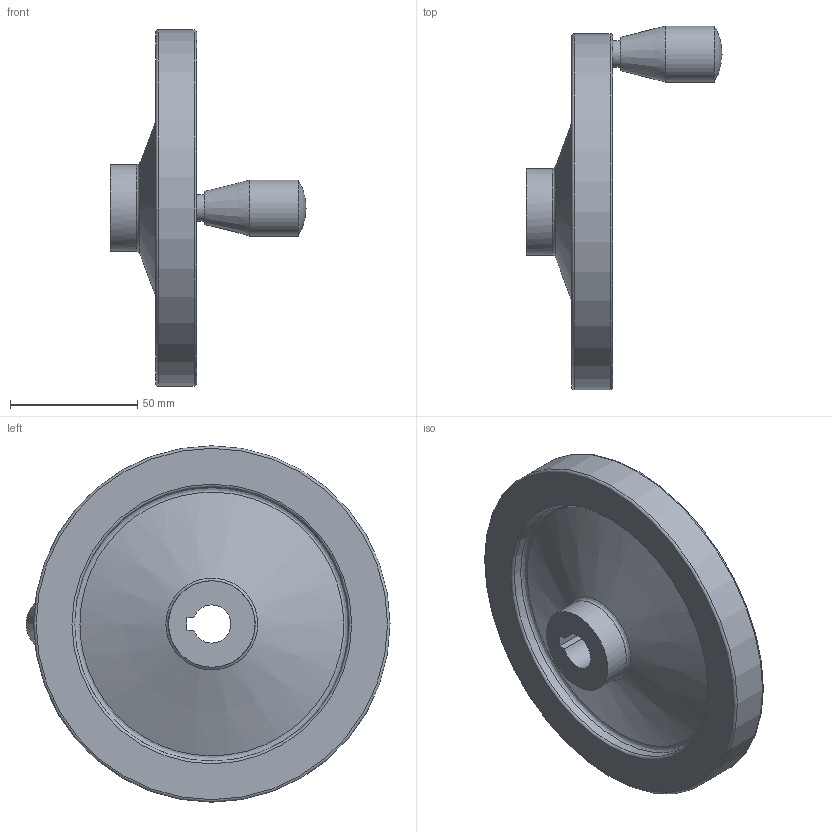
import cadquery as cq
import math

rim_front_x = 18.0
rim_width = 16.0
rim_back_x = rim_front_x + rim_width
overall_length = 77.0

rim_radius = 140.0 / 2
rim_edge_fillet = 1.0
hub_radius = 34.0 / 2
recess_radius = 107.87 / 2
recess_floor_radius = 103.6 / 2
cone_angle = math.radians(20)
cone_rise = math.sin(cone_angle)
recess_fillet = (recess_radius - recess_floor_radius) / (1 + cone_rise)
cone_crossing_radius = 35.2

bore_radius = 15.0 / 2
keyway_width = 5.0
keyway_depth = 2.3

handle_offset = 62.0
neck_radius = 10.56 / 2
neck_length = 3.0
taper_start_radius = 13.0 / 2
taper_length = 17.7
grip_radius = 22.0 / 2
dome_height = 3.0


def cone_x(radius):
    """Position along X of the conical web surface at a given radius."""
    return rim_front_x + (radius - cone_crossing_radius) * math.tan(cone_angle)


def circle_edges(body, x, radius):
    """Circular edges about the wheel axis with the given position and radius."""
    tolerance = 0.01
    low = (x - tolerance, -radius - tolerance, -radius - tolerance)
    high = (x + tolerance, radius + tolerance, radius + tolerance)
    in_plane = body.edges(cq.selectors.BoxSelector(low, high, boundingbox=True))
    return in_plane.filter(lambda edge: abs(edge.radius() - radius) < tolerance)


def round_circle(body, x, radius, fillet):
    return circle_edges(body, x, radius).fillet(fillet)


def make_wheel():
    """Hub, conical web and rim turned about the X axis, with rounded edges."""
    profile = (
        cq.Workplane("XY")
        .moveTo(0, 0)
        .lineTo(0, hub_radius)
        .lineTo(cone_x(hub_radius), hub_radius)
        .lineTo(cone_x(recess_radius), recess_radius)
        .lineTo(rim_front_x, recess_radius)
        .lineTo(rim_front_x, rim_radius)
        .lineTo(rim_back_x, rim_radius)
        .lineTo(rim_back_x, 0)
        .close()
    )
    wheel = profile.revolve(360, (0, 0, 0), (1, 0, 0))
    wheel = round_circle(wheel, cone_x(hub_radius), hub_radius, recess_fillet)
    wheel = round_circle(wheel, cone_x(recess_radius), recess_radius, recess_fillet)
    wheel = round_circle(wheel, rim_front_x, recess_radius, rim_edge_fillet)
    wheel = round_circle(wheel, rim_front_x, rim_radius, rim_edge_fillet)
    return round_circle(wheel, rim_back_x, rim_radius, rim_edge_fillet)


def make_bore():
    """Through bore with a rectangular keyway on the +Y side."""
    bore = cq.Workplane("YZ").circle(bore_radius).extrude(rim_back_x)
    keyway_reach = bore_radius + keyway_depth
    keyway = (
        cq.Workplane("YZ")
        .center(keyway_reach / 2, 0)
        .rect(keyway_reach, keyway_width)
        .extrude(rim_back_x)
    )
    return bore.union(keyway)


def make_handle():
    """Neck, tapered grip and domed end turned about an axis parallel to X."""
    taper_start_x = rim_back_x + neck_length
    taper_end_x = taper_start_x + taper_length
    grip_end_x = overall_length - dome_height
    dome_sphere_radius = (grip_radius**2 + dome_height**2) / (2 * dome_height)
    dome_mid_radius = grip_radius / 2
    dome_center_x = overall_length - dome_sphere_radius
    dome_mid_x = dome_center_x + math.sqrt(dome_sphere_radius**2 - dome_mid_radius**2)
    profile = (
        cq.Workplane("XY", origin=(0, handle_offset, 0))
        .moveTo(rim_back_x, 0)
        .lineTo(rim_back_x, neck_radius)
        .lineTo(taper_start_x, neck_radius)
        .lineTo(taper_start_x, taper_start_radius)
        .lineTo(taper_end_x, grip_radius)
        .lineTo(grip_end_x, grip_radius)
        .threePointArc((dome_mid_x, dome_mid_radius), (overall_length, 0))
        .close()
    )
    return profile.revolve(360, (0, 0, 0), (1, 0, 0))


result = make_wheel().cut(make_bore()).union(make_handle())